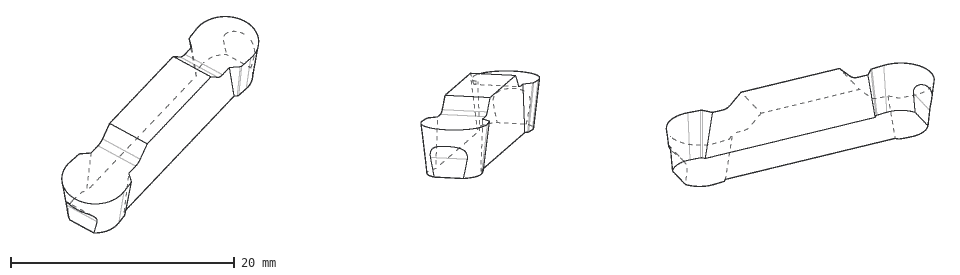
import cadquery as cq
import math

length = 26.0
height = 5.98

head_radius = 3.003
head_height = 4.6
head_taper = 6.7
flank_angle = 5.0
shoulder_y = 8.42
shoulder_fillet = 0.2
neck_y = 7.72
head_center_y = length / 2 - head_radius

body_width = 4.15
crown_half_length = 4.9
ramp_angle = 45.0
ramp_fillet = 1.0
head_overlap = 0.25

relief_y = 12.06
relief_flat_height = 1.8
relief_radius = 1.4


def make_body():
    """Slab with a raised crown that ramps down to the head level at both ends."""
    end_y = shoulder_y + head_overlap
    ramp_foot_y = crown_half_length + (height - head_height) / math.tan(math.radians(ramp_angle))
    profile = [
        (-end_y, 0),
        (end_y, 0),
        (end_y, head_height),
        (ramp_foot_y, head_height),
        (crown_half_length, height),
        (-crown_half_length, height),
        (-ramp_foot_y, head_height),
        (-end_y, head_height),
    ]
    body = cq.Workplane("YZ").polyline(profile).close().extrude(body_width / 2, both=True)
    for side in (-1, 1):
        foot = cq.selectors.NearestToPointSelector((0, side * ramp_foot_y, head_height))
        body = body.edges("|X").edges(foot).fillet(ramp_fillet)
    return body


def make_head():
    """Head at the +Y end, narrowing downward, with the relief cut under its nose."""
    angle = math.radians(flank_angle)
    tangent_x = head_radius * math.cos(angle)
    tangent_y = head_center_y - head_radius * math.sin(angle)
    shoulder_x = tangent_x - (tangent_y - shoulder_y) * math.tan(angle)
    neck_x = body_width / 2
    head = (
        cq.Workplane("XY", origin=(0, 0, head_height))
        .moveTo(-neck_x, neck_y)
        .lineTo(-shoulder_x, shoulder_y)
        .lineTo(-tangent_x, tangent_y)
        .threePointArc((0, length / 2), (tangent_x, tangent_y))
        .lineTo(shoulder_x, shoulder_y)
        .lineTo(neck_x, neck_y)
        .close()
        .extrude(-head_height, taper=head_taper)
    )
    for side in (-1, 1):
        shoulder = cq.selectors.NearestToPointSelector((side * shoulder_x, shoulder_y, head_height / 2))
        head = head.edges("not #Z").edges(shoulder).fillet(shoulder_fillet)
    return head.cut(make_relief())


def make_relief():
    """Upright flat that curves outward into the nose along a concave arc."""
    outer_y = relief_y + relief_radius
    arc_mid_y = outer_y - relief_radius * math.cos(math.pi / 4)
    arc_mid_z = relief_flat_height + relief_radius * math.sin(math.pi / 4)
    return (
        cq.Workplane("YZ")
        .moveTo(relief_y, 0)
        .lineTo(relief_y, relief_flat_height)
        .threePointArc((arc_mid_y, arc_mid_z), (outer_y, relief_flat_height + relief_radius))
        .lineTo(outer_y, 0)
        .close()
        .extrude(head_radius, both=True)
    )


head = make_head()
result = make_body().union(head).union(head.mirror("XZ"))